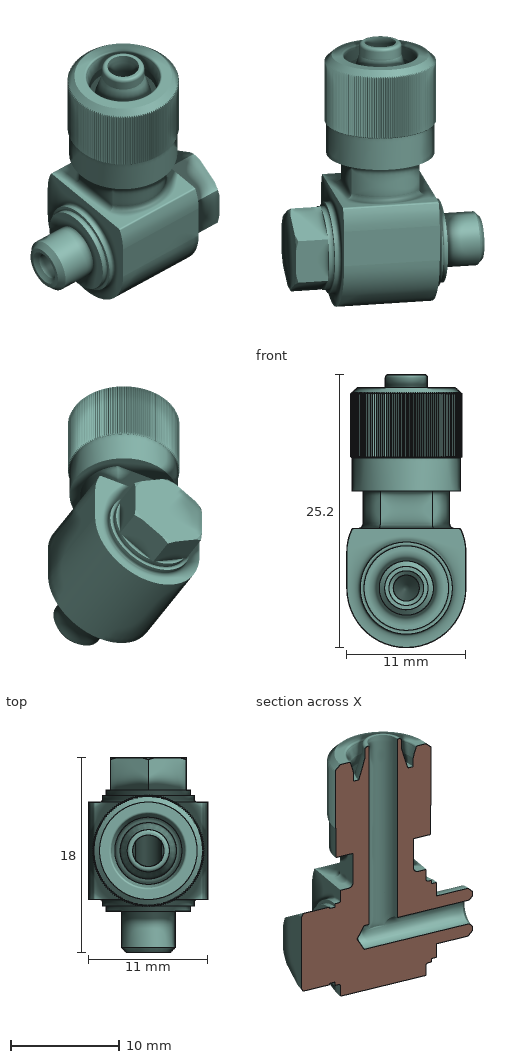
import cadquery as cq
import math


BLOCK_RADIUS = 5.5
BLOCK_LENGTH = 9.0
BLOCK_TOP = 5.5
FLANK_ARC_START = 3.36
FLANK_ARC_RADIUS = 4.7
TOP_EDGE_FILLET = 0.2

SHOULDER_FILLET = 0.2
RING_DIAMETER = 8.5
RING_OFFSET = 0.6
WASHER_DIAMETER = 7.8
WASHER_OFFSET = 1.1

BOLT_DIAMETER = 5.0
BOLT_TIP_Y = -9.4
BOLT_TIP_CHAMFER = 0.5
BOLT_BORE_DIAMETER = 2.4
BOLT_BORE_END_Y = 2.0
BOLT_COUNTERSINK = 0.4
DRILL_POINT_ANGLE = 118.0
HEX_ACROSS_FLATS = 7.0
HEX_END_Y = 8.6
HEX_FACE_DIAMETER = 7.4
HEX_BEVEL_ANGLE = 30.0
HEX_TRIM_MARGIN = 0.5

NECK_DIAMETER = 8.0
NECK_ACROSS_FLATS = 6.4
NECK_FILLET = 0.45

NUT_BOTTOM = 8.95
NUT_TOP = 18.5
NUT_DIAMETER = 10.0
NUT_TOP_DIAMETER = 9.0
NUT_TOP_BEVEL_HEIGHT = 0.6
KNURL_BOTTOM = 12.0
KNURL_DIAMETER = 10.3
KNURL_DEPTH = 0.14
KNURL_TEETH = 150

SOCKET_DIAMETER = 6.8
SOCKET_MOUTH_FILLET = 0.2
SEAT_DIAMETER = 6.2
TAPER_BOTTOM = 17.3
SOCKET_FLOOR = 16.45

SPIGOT_TOP = 19.7
SPIGOT_DIAMETER = 3.9
SPIGOT_TIP_FILLET = 0.3
SPIGOT_CONE_TOP = 18.57
SPIGOT_BASE_DIAMETER = 5.2
SPIGOT_BORE_DIAMETER = 2.9


def cylinder_z(diameter, bottom, top):
    return cq.Workplane("XY").workplane(offset=bottom).circle(diameter / 2).extrude(top - bottom)


def turned_about_y(profile):
    """Turn a (radius, y) outline about the Y axis; the outline is closed along that axis."""
    return cq.Workplane("XY").polyline(profile).close().revolve(360, (0, 0, 0), (0, 1, 0))


def make_block():
    arc_centre_x = BLOCK_RADIUS - FLANK_ARC_RADIUS

    def flank_x(z):
        return arc_centre_x + math.sqrt(FLANK_ARC_RADIUS**2 - (z - FLANK_ARC_START) ** 2)

    mid_z = (FLANK_ARC_START + BLOCK_TOP) / 2
    top_x = flank_x(BLOCK_TOP)
    block = (
        cq.Workplane("XZ")
        .moveTo(-BLOCK_RADIUS, 0)
        .threePointArc((0, -BLOCK_RADIUS), (BLOCK_RADIUS, 0))
        .lineTo(BLOCK_RADIUS, FLANK_ARC_START)
        .threePointArc((flank_x(mid_z), mid_z), (top_x, BLOCK_TOP))
        .lineTo(-top_x, BLOCK_TOP)
        .threePointArc((-flank_x(mid_z), mid_z), (-BLOCK_RADIUS, FLANK_ARC_START))
        .close()
        .extrude(BLOCK_LENGTH / 2, both=True)
    )
    return block.faces(">Z").edges("|Y").fillet(TOP_EDGE_FILLET)


def make_collar(side):
    """Stepped collar on the +Y (side = 1) or -Y (side = -1) end, filleted into the block."""
    ring_radius = RING_DIAMETER / 2
    washer_radius = WASHER_DIAMETER / 2
    face_y = BLOCK_LENGTH / 2
    mid_fillet = SHOULDER_FILLET * (1 - math.sqrt(0.5))
    return (
        cq.Workplane("XY")
        .moveTo(0, 0)
        .lineTo(ring_radius + SHOULDER_FILLET, 0)
        .lineTo(ring_radius + SHOULDER_FILLET, side * face_y)
        .threePointArc(
            (ring_radius + mid_fillet, side * (face_y + mid_fillet)),
            (ring_radius, side * (face_y + SHOULDER_FILLET)),
        )
        .lineTo(ring_radius, side * (face_y + RING_OFFSET))
        .lineTo(washer_radius, side * (face_y + RING_OFFSET))
        .lineTo(washer_radius, side * (face_y + WASHER_OFFSET))
        .lineTo(0, side * (face_y + WASHER_OFFSET))
        .close()
        .revolve(360, (0, 0, 0), (0, 1, 0))
    )


def make_bolt_shank():
    radius = BOLT_DIAMETER / 2
    return turned_about_y(
        [
            (0, 0),
            (radius, 0),
            (radius, BOLT_TIP_Y + BOLT_TIP_CHAMFER),
            (radius - BOLT_TIP_CHAMFER, BOLT_TIP_Y),
            (0, BOLT_TIP_Y),
        ]
    )


def make_bolt_head():
    """Hexagon with flats facing +X and -X, its outer corners bevelled by a cone."""
    start_y = BLOCK_LENGTH / 2 + WASHER_OFFSET
    corner_diameter = HEX_ACROSS_FLATS / math.cos(math.pi / 6)
    hexagon = (
        cq.Workplane("XZ", origin=(0, start_y, 0))
        .transformed(rotate=(0, 0, 90))
        .polygon(6, corner_diameter)
        .extrude(start_y - HEX_END_Y)
    )
    face_radius = HEX_FACE_DIAMETER / 2
    rim_radius = corner_diameter / 2 + HEX_TRIM_MARGIN
    bevel_length = (rim_radius - face_radius) * math.tan(math.radians(HEX_BEVEL_ANGLE))
    envelope = turned_about_y(
        [
            (0, start_y),
            (rim_radius, start_y),
            (rim_radius, HEX_END_Y - bevel_length),
            (face_radius, HEX_END_Y),
            (0, HEX_END_Y),
        ]
    )
    return hexagon.intersect(envelope)


def make_bolt_bore():
    """Blind drilled bore entering from the bolt tip."""
    radius = BOLT_BORE_DIAMETER / 2
    point_length = radius / math.tan(math.radians(DRILL_POINT_ANGLE / 2))
    return turned_about_y(
        [
            (0, BOLT_TIP_Y),
            (radius + BOLT_COUNTERSINK, BOLT_TIP_Y),
            (radius, BOLT_TIP_Y + BOLT_COUNTERSINK),
            (radius, BOLT_BORE_END_Y),
            (0, BOLT_BORE_END_Y + point_length),
        ]
    )


def add_neck(block):
    """Round neck with flats facing +Y and -Y, joined to the block top by a concave fillet."""
    neck = cylinder_z(NECK_DIAMETER, 0, NUT_BOTTOM)
    flats = cq.Workplane("XY").box(NECK_DIAMETER, NECK_ACROSS_FLATS, 2 * NUT_BOTTOM)
    body = block.union(neck.intersect(flats))
    neck_foot = cq.selectors.BoxSelector(
        (-NECK_DIAMETER / 2 - NECK_FILLET, -NECK_DIAMETER / 2, BLOCK_TOP - NECK_FILLET),
        (NECK_DIAMETER / 2 + NECK_FILLET, NECK_DIAMETER / 2, BLOCK_TOP + NECK_FILLET),
    )
    return body.edges(neck_foot).fillet(NECK_FILLET)


def make_knurl():
    """Upper part of the nut: straight V-shaped teeth along Z, bevelled at both ends."""
    crest_radius = KNURL_DIAMETER / 2
    root_radius = crest_radius - KNURL_DEPTH
    half_pitch = math.pi / KNURL_TEETH
    outline = []
    for i in range(2 * KNURL_TEETH):
        radius = crest_radius if i % 2 == 0 else root_radius
        outline.append((radius * math.cos(i * half_pitch), radius * math.sin(i * half_pitch)))
    teeth = (
        cq.Workplane("XY")
        .workplane(offset=KNURL_BOTTOM)
        .polyline(outline)
        .close()
        .extrude(NUT_TOP - KNURL_BOTTOM)
    )
    margin = KNURL_DEPTH
    rim_radius = crest_radius + margin
    top_radius = NUT_TOP_DIAMETER / 2
    bevel_slope = NUT_TOP_BEVEL_HEIGHT / (crest_radius - top_radius)
    envelope = (
        cq.Workplane("XZ")
        .polyline(
            [
                (0, KNURL_BOTTOM),
                (root_radius, KNURL_BOTTOM),
                (rim_radius, KNURL_BOTTOM + rim_radius - root_radius),
                (rim_radius, NUT_TOP - bevel_slope * (rim_radius - top_radius)),
                (top_radius, NUT_TOP),
                (0, NUT_TOP),
            ]
        )
        .close()
        .revolve(360, (0, 0, 0), (0, 1, 0))
    )
    return teeth.intersect(envelope)


def make_nut():
    return cylinder_z(NUT_DIAMETER, NUT_BOTTOM, KNURL_BOTTOM).union(make_knurl())


def make_socket():
    """Cavity in the nut top: rounded mouth, slight taper, then a cylindrical seat."""
    mouth_radius = SOCKET_DIAMETER / 2
    seat_radius = SEAT_DIAMETER / 2
    mid_fillet = SOCKET_MOUTH_FILLET * (1 - math.sqrt(0.5))
    return (
        cq.Workplane("XZ")
        .moveTo(0, SOCKET_FLOOR)
        .lineTo(seat_radius, SOCKET_FLOOR)
        .lineTo(seat_radius, TAPER_BOTTOM)
        .lineTo(mouth_radius, NUT_TOP - SOCKET_MOUTH_FILLET)
        .threePointArc(
            (mouth_radius + mid_fillet, NUT_TOP - mid_fillet),
            (mouth_radius + SOCKET_MOUTH_FILLET, NUT_TOP),
        )
        .lineTo(0, NUT_TOP)
        .close()
        .revolve(360, (0, 0, 0), (0, 1, 0))
    )


def make_spigot():
    radius = SPIGOT_DIAMETER / 2
    tip_radius = radius - SPIGOT_TIP_FILLET
    mid_fillet = SPIGOT_TIP_FILLET * (1 - math.sqrt(0.5))
    return (
        cq.Workplane("XZ")
        .moveTo(0, SOCKET_FLOOR)
        .lineTo(SPIGOT_BASE_DIAMETER / 2, SOCKET_FLOOR)
        .lineTo(radius, SPIGOT_CONE_TOP)
        .lineTo(radius, SPIGOT_TOP - SPIGOT_TIP_FILLET)
        .threePointArc((radius - mid_fillet, SPIGOT_TOP - mid_fillet), (tip_radius, SPIGOT_TOP))
        .lineTo(0, SPIGOT_TOP)
        .close()
        .revolve(360, (0, 0, 0), (0, 1, 0))
    )


body = add_neck(make_block())
for collar_side in (1, -1):
    body = body.union(make_collar(collar_side))
body = body.union(make_bolt_shank()).union(make_bolt_head())

nut = make_nut().cut(make_socket())
spigot_bore = cylinder_z(SPIGOT_BORE_DIAMETER, 0, SPIGOT_TOP)

result = body.union(nut).union(make_spigot()).cut(spigot_bore).cut(make_bolt_bore())